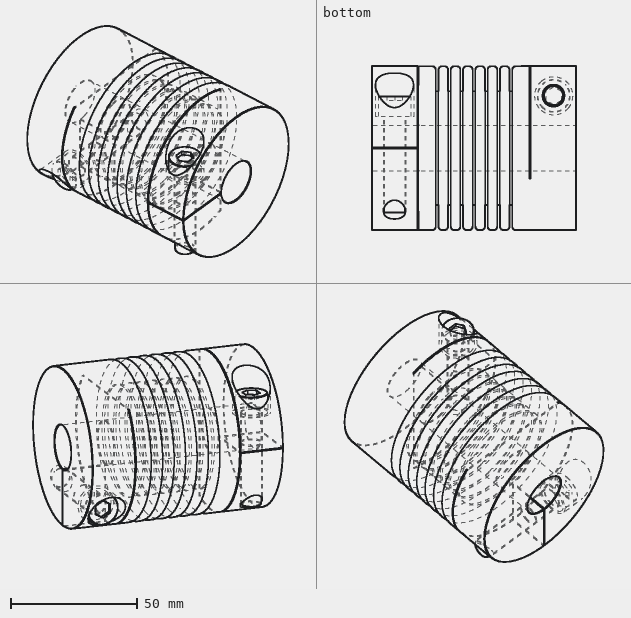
import cadquery as cq
import math


LENGTH = 81.0
OUTER_R = 32.5
BORE_R = 9.0
EDGE_CHAMFER = 0.25

GROOVE_COUNT = 7
GROOVE_WIDTH = 1.0
DISC_WIDTH = 3.9
ROOT_R = 22.5
DISC_FILLET = 1.5
PITCH = DISC_WIDTH + GROOVE_WIDTH

SLIT_POSITION = 22.2
SLIT_WIDTH = 0.5
LEFT_SLIT_LIMIT = 20.7
RIGHT_SLIT_LIMIT = 12.0
CLAMP_GAP = 0.5

SCREW_INSET = 9.1
SCREW_OFFSET = 20.7
SHANK_R = 4.0
CLEARANCE_R = 4.4
HEAD_R = 6.5
HEAD_LENGTH = 8.0
SCREW_CHAMFER = 0.25
HEAD_TOP = 20.6
SHANK_END = 25.6
HEX_FLATS = 6.15
HEX_DEPTH = 1.7
COUNTERBORE_R = 7.5

SEAT = HEAD_TOP - HEAD_LENGTH
SCREW_X = LENGTH / 2 - SCREW_INSET
REACH = 2 * OUTER_R


def box_between(x0, x1, y0, y1, z0, z1):
    """Block given by its lower and upper limits on each axis."""
    return cq.Workplane("XY").box(x1 - x0, y1 - y0, z1 - z0, centered=False).translate((x0, y0, z0))


def in_left_hub(shape):
    """Turn a shape built along the Z axis onto the left screw axis, head toward -Y."""
    return shape.rotate((0, 0, 0), (1, 0, 0), 90).translate((-SCREW_X, 0, -SCREW_OFFSET))


def in_right_hub(shape):
    """Move a shape built along the Z axis onto the right screw axis, head toward +Z."""
    return shape.translate((SCREW_X, -SCREW_OFFSET, 0))


def make_body():
    """Cylinder along X with its bore and lightly chamfered end edges."""
    tube = cq.Workplane("YZ").circle(OUTER_R).circle(BORE_R).extrude(LENGTH / 2, both=True)
    return tube.faces("<X or >X").chamfer(EDGE_CHAMFER)


def make_groove(x):
    """Annular groove cutter that rounds off the rims of the discs on either side."""
    inner = GROOVE_WIDTH / 2
    outer = inner + DISC_FILLET
    shoulder = OUTER_R - DISC_FILLET
    bend = DISC_FILLET * (1 - math.sqrt(0.5))
    profile = (
        cq.Workplane("XY")
        .moveTo(-inner, ROOT_R)
        .lineTo(inner, ROOT_R)
        .lineTo(inner, shoulder)
        .threePointArc((inner + bend, OUTER_R - bend), (outer, OUTER_R))
        .lineTo(outer, REACH)
        .lineTo(-outer, REACH)
        .lineTo(-outer, OUTER_R)
        .threePointArc((-inner - bend, OUTER_R - bend), (-inner, shoulder))
        .close()
    )
    return profile.revolve(360, (0, 0, 0), (1, 0, 0)).translate((x, 0, 0))


def make_slits():
    """Cross slits and lengthwise clamp slits of both hubs."""
    near = SLIT_POSITION - SLIT_WIDTH / 2
    far = SLIT_POSITION + SLIT_WIDTH / 2
    half_gap = CLAMP_GAP / 2
    left_cross = box_between(-far, -near, -REACH, REACH, -REACH, LEFT_SLIT_LIMIT)
    right_cross = box_between(near, far, -REACH, RIGHT_SLIT_LIMIT, -REACH, REACH)
    left_clamp = box_between(-REACH, -SLIT_POSITION, -half_gap, half_gap, -REACH, 0)
    right_clamp = box_between(SLIT_POSITION, REACH, -REACH, 0, -half_gap, half_gap)
    return [left_cross, right_cross, left_clamp, right_clamp]


def make_screw_hole():
    """Counterbored through hole for one screw."""
    hole = cq.Workplane("XY").circle(CLEARANCE_R).extrude(REACH, both=True)
    counterbore = cq.Workplane("XY").workplane(offset=SEAT).circle(COUNTERBORE_R).extrude(REACH)
    return hole.union(counterbore)


def make_screw():
    """Socket head cap screw with its head toward +Z."""
    shank = cq.Workplane("XY").workplane(offset=-SHANK_END).circle(SHANK_R).extrude(SHANK_END + SEAT)
    shank = shank.faces("<Z").chamfer(SCREW_CHAMFER)
    head = cq.Workplane("XY").workplane(offset=SEAT).circle(HEAD_R).extrude(HEAD_LENGTH)
    head = head.faces(">Z").chamfer(SCREW_CHAMFER)
    across_corners = HEX_FLATS / math.cos(math.radians(30))
    socket_floor = cq.Workplane("XY").workplane(offset=HEAD_TOP - HEX_DEPTH)
    socket = socket_floor.polygon(6, across_corners).extrude(HEX_DEPTH)
    socket = socket.rotate((0, 0, 0), (0, 0, 1), 90)
    return shank.union(head).cut(socket)


def make_coupling():
    """Both hubs and the bellows between them as one piece."""
    coupling = make_body()
    for i in range(GROOVE_COUNT):
        coupling = coupling.cut(make_groove((i - (GROOVE_COUNT - 1) / 2) * PITCH))
    for slit in make_slits():
        coupling = coupling.cut(slit)
    for place in (in_left_hub, in_right_hub):
        coupling = coupling.cut(place(make_screw_hole()))
    return coupling


coupling = make_coupling()
screws = [place(make_screw()).val() for place in (in_left_hub, in_right_hub)]

result = cq.Compound.makeCompound([coupling.val(), *screws])